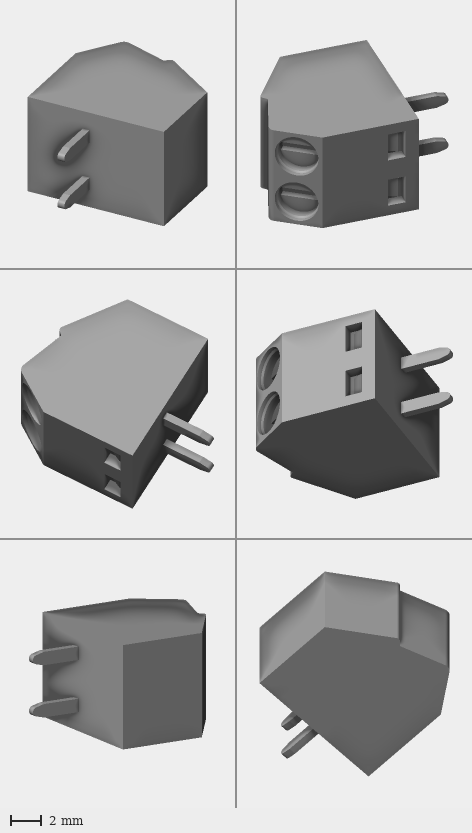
import cadquery as cq
import math

PITCH = 3.5
HOUSING_WIDTH = 10.0
HOUSING_THICKNESS = 2 * PITCH
LEFT_WALL_HEIGHT = 6.63
RIGHT_WALL_HEIGHT = 5.99
PEAK = (2.08, 9.6)
NOTCH = (5.52, 8.42)
SHOULDER = (5.93, 8.83)
PEAK_RADIUS = 0.5
SHOULDER_RADIUS = 0.25

HOLE_SLOPE_POSITION = 1.74
MOUTH_RADIUS = 1.47
MOUTH_DEPTH = 0.29
BORE_RADIUS = 1.36
BORE_CONE_END = 0.42
BORE_DEPTH = 0.96
SCREW_SLOT_RADIUS = 1.35
SCREW_SLOT_WIDTH = 0.58
SCREW_SLOT_DEPTH = 0.47

OPENING_BOTTOM = 0.91
OPENING_TOP = 2.1
OPENING_LENGTH = 2.0
OPENING_DEPTH = 0.8
CLAMP_BOTTOM = 0.94
CLAMP_TOP = 1.86
CLAMP_SLOPE_START = 1.26
CLAMP_LENGTH = 1.6
CLAMP_HEIGHT = 0.31

PIN_CENTRE_X = 4.29
PIN_THICKNESS = 0.51
PIN_WIDTH = 0.9
PIN_LENGTH = PITCH
PIN_TAPER_START = 2.69
PIN_TIP_WIDTH = 0.48
PIN_TIP_RADIUS = 0.3

POLE_CENTRES = (-PITCH / 2, PITCH / 2)


def make_housing():
    outline = [
        (0, 0),
        (HOUSING_WIDTH, 0),
        (HOUSING_WIDTH, RIGHT_WALL_HEIGHT),
        SHOULDER,
        NOTCH,
        PEAK,
        (0, LEFT_WALL_HEIGHT),
    ]
    block = cq.Workplane("XY").polyline(outline).close().extrude(HOUSING_THICKNESS / 2, both=True)
    for corner, radius in ((PEAK, PEAK_RADIUS), (SHOULDER, SHOULDER_RADIUS)):
        edge = cq.selectors.NearestToPointSelector((corner[0], corner[1], 0))
        block = block.edges("|Z").edges(edge).fillet(radius)
    return block


def make_screw_hole(pole_z):
    """Stepped bore with a slotted screw head at its floor."""
    run = PEAK[0]
    rise = PEAK[1] - LEFT_WALL_HEIGHT
    slope_length = math.hypot(run, rise)
    up_slope = (run / slope_length, rise / slope_length, 0)
    outward = (-up_slope[1], up_slope[0], 0)
    mouth_centre = (
        HOLE_SLOPE_POSITION * up_slope[0],
        LEFT_WALL_HEIGHT + HOLE_SLOPE_POSITION * up_slope[1],
        pole_z,
    )
    half_section = [
        (0, 0),
        (MOUTH_RADIUS, 0),
        (MOUTH_RADIUS, -MOUTH_DEPTH),
        (BORE_RADIUS, -BORE_CONE_END),
        (BORE_RADIUS, -BORE_DEPTH),
        (0, -BORE_DEPTH),
    ]
    section_plane = cq.Plane(origin=mouth_centre, xDir=up_slope, normal=(0, 0, 1))
    bore = cq.Workplane(section_plane).polyline(half_section).close().revolve(360, (0, 0), (0, 1))
    mouth = cq.Workplane(cq.Plane(origin=mouth_centre, xDir=up_slope, normal=outward))
    total_depth = BORE_DEPTH + SCREW_SLOT_DEPTH
    slot_walls = mouth.rect(2 * SCREW_SLOT_RADIUS, SCREW_SLOT_WIDTH).extrude(-total_depth)
    slot = mouth.circle(SCREW_SLOT_RADIUS).extrude(-total_depth).intersect(slot_walls)
    return bore.union(slot)


def make_wire_opening(pole_z):
    """Rectangular opening whose floor carries a raised clamp with a sloping upper face."""
    opening = cq.Workplane("XY").box(
        OPENING_DEPTH, OPENING_TOP - OPENING_BOTTOM, OPENING_LENGTH, centered=(False, False, True)
    ).translate((0, OPENING_BOTTOM, 0))
    clamp_face = OPENING_DEPTH - CLAMP_HEIGHT
    section = [
        (OPENING_DEPTH, CLAMP_BOTTOM),
        (clamp_face, CLAMP_BOTTOM),
        (clamp_face, CLAMP_SLOPE_START),
        (OPENING_DEPTH, CLAMP_TOP),
    ]
    clamp = cq.Workplane("XY").polyline(section).close().extrude(CLAMP_LENGTH / 2, both=True)
    return opening.cut(clamp).translate((0, 0, pole_z))


def make_pin(pole_z):
    """Flat pin with a tapered, rounded tip."""
    half_width = PIN_WIDTH / 2
    half_tip = PIN_TIP_WIDTH / 2
    outline = [
        (0, -half_width),
        (-PIN_TAPER_START, -half_width),
        (-PIN_LENGTH, -half_tip),
        (-PIN_LENGTH, half_tip),
        (-PIN_TAPER_START, half_width),
        (0, half_width),
    ]
    pin = cq.Workplane("YZ").polyline(outline).close().extrude(PIN_THICKNESS / 2, both=True)
    pin = pin.faces("<Y").edges("|X").fillet(PIN_TIP_RADIUS)
    return pin.translate((PIN_CENTRE_X, 0, pole_z))


result = make_housing()
for pole_z in POLE_CENTRES:
    result = result.cut(make_screw_hole(pole_z))
    result = result.cut(make_wire_opening(pole_z))
    result = result.union(make_pin(pole_z))